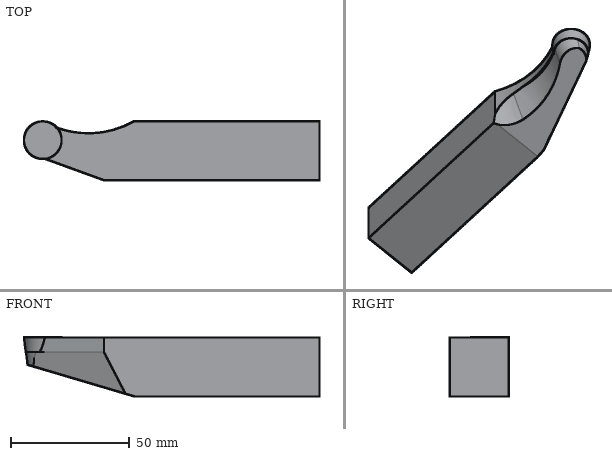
import cadquery as cq
import math

LENGTH = 125.0
WIDTH = 25.0
HEIGHT = 25.0

INSERT_RADIUS = 8.0
INSERT_THICKNESS = 6.4
CLEARANCE_ANGLE = 7.0
SEAT_Z = 18.8
INSERT_X = INSERT_RADIUS
INSERT_Y = WIDTH - INSERT_RADIUS

TIP_RADIUS = 7.1
FRONT_ANGLE = 20.0
FRONT_RELIEF_ANGLE = 10.0
ARC_RADIUS = 39.0
ARC_CENTER_X = 27.2
REAR_RELIEF_ANGLE = 20.0
UNDERCUT_RADIUS = 31.2
UNDERCUT_CENTER_X = 26.2
UNDERCUT_BLEND_X = 38.8
UNDERCUT_END_RADIUS = 15.6
UNDERSIDE_ANGLE = 16.5
UNDERSIDE_END_X = 46.8

TIP_WRAP_ANGLE = 120.0
UNDERCUT_MARGIN = 1.2
TOOL_SIZE = 2 * LENGTH


def hollow_center(radius, center_x):
    """Center of an arc that touches the tip support from outside, on its rear side."""
    reach = radius + TIP_RADIUS
    return center_x, INSERT_Y + math.sqrt(reach**2 - (center_x - INSERT_X) ** 2)


def tip_tangent(radius, center):
    """Point where a hollow touches the tip support."""
    share = TIP_RADIUS / (radius + TIP_RADIUS)
    return (
        INSERT_X + share * (center[0] - INSERT_X),
        INSERT_Y + share * (center[1] - INSERT_Y),
    )


def point_below(center, distance, angle):
    """Point at a distance from the center, swung from the -Y direction towards +X."""
    return center[0] + distance * math.sin(angle), center[1] - distance * math.cos(angle)


front_angle = math.radians(FRONT_ANGLE)
FRONT_TANGENT = (
    INSERT_X - TIP_RADIUS * math.sin(front_angle),
    INSERT_Y - TIP_RADIUS * math.cos(front_angle),
)
FRONT_CORNER_X = FRONT_TANGENT[0] + FRONT_TANGENT[1] / math.tan(front_angle)


def clearance_cone(top_radius, bottom_z, height):
    """Frustum on the insert axis that narrows downwards at the clearance angle."""
    bottom_radius = top_radius - height * math.tan(math.radians(CLEARANCE_ANGLE))
    cone = cq.Solid.makeCone(bottom_radius, top_radius, height, cq.Vector(INSERT_X, INSERT_Y, bottom_z))
    return cq.Workplane(obj=cone)


def shank_and_flanks():
    """Bar with its flat front flank and its hollow rear flank, both vertical."""
    center = hollow_center(ARC_RADIUS, ARC_CENTER_X)
    end_x = center[0] + math.sqrt(ARC_RADIUS**2 - (center[1] - WIDTH) ** 2)
    arc_middle = (center[0], center[1] - ARC_RADIUS)
    return (
        cq.Workplane("XY")
        .moveTo(*FRONT_TANGENT)
        .lineTo(FRONT_CORNER_X, 0)
        .lineTo(LENGTH, 0)
        .lineTo(LENGTH, WIDTH)
        .lineTo(end_x, WIDTH)
        .threePointArc(arc_middle, tip_tangent(ARC_RADIUS, center))
        .close()
        .extrude(HEIGHT)
    )


def front_relief():
    """Half-space tool that leans the front flank inwards below the seat."""
    tool = cq.Workplane("XY").box(TOOL_SIZE, TOOL_SIZE, TOOL_SIZE, centered=(True, False, False))
    tool = tool.translate((0, -TOOL_SIZE, -TOOL_SIZE))
    tool = tool.rotate((0, 0, 0), (1, 0, 0), FRONT_RELIEF_ANGLE)
    tool = tool.rotate((0, 0, 0), (0, 0, 1), -FRONT_ANGLE)
    return tool.translate((FRONT_CORNER_X, 0, SEAT_Z)).intersect(below_seat())


def rear_relief():
    """Leaning prism tool: wraps the rear of the tip support, then hollows the flank."""
    center = hollow_center(UNDERCUT_RADIUS, UNDERCUT_CENTER_X)
    tangent = tip_tangent(UNDERCUT_RADIUS, center)
    lean = SEAT_Z * math.tan(math.radians(REAR_RELIEF_ANGLE))

    blend_angle = math.asin((UNDERCUT_BLEND_X - center[0]) / UNDERCUT_RADIUS)
    blend = point_below(center, UNDERCUT_RADIUS, blend_angle)
    center_shift = UNDERCUT_RADIUS - UNDERCUT_END_RADIUS
    end_center = point_below(center, center_shift, blend_angle)
    end_middle = point_below(end_center, UNDERCUT_END_RADIUS, (blend_angle + math.pi / 2) / 2)
    end = (end_center[0] + UNDERCUT_END_RADIUS, end_center[1])

    tip_left = INSERT_X - TIP_RADIUS
    wrap_angle = math.radians(TIP_WRAP_ANGLE)
    tip_middle = (
        INSERT_X + TIP_RADIUS * math.cos(wrap_angle),
        INSERT_Y + TIP_RADIUS * math.sin(wrap_angle),
    )
    profile = (
        cq.Workplane("XY", origin=(0, 0, SEAT_Z))
        .moveTo(tip_left, INSERT_Y)
        .threePointArc(tip_middle, tangent)
        .threePointArc((center[0], center[1] - UNDERCUT_RADIUS), blend)
        .threePointArc(end_middle, end)
        .lineTo(-UNDERCUT_MARGIN, end[1])
        .lineTo(-UNDERCUT_MARGIN, INSERT_Y)
        .close()
        .val()
    )
    tool = cq.Solid.extrudeLinear(profile, [], cq.Vector(0, -lean, -SEAT_Z))
    return cq.Workplane(obj=tool)


def below_seat():
    """Space under the seat plane."""
    return cq.Workplane("XY").box(TOOL_SIZE, TOOL_SIZE, SEAT_Z, centered=(True, True, False))


def underside():
    """Wedge tool that slopes the underside up towards the tip."""
    rise = UNDERSIDE_END_X * math.tan(math.radians(UNDERSIDE_ANGLE))
    return (
        cq.Workplane("XZ")
        .polyline([(0, 0), (UNDERSIDE_END_X, 0), (0, rise)])
        .close()
        .extrude(-WIDTH)
    )


def make_insert():
    return clearance_cone(INSERT_RADIUS, SEAT_Z, INSERT_THICKNESS)


def make_holder(seated_insert):
    tip_support = clearance_cone(TIP_RADIUS, 0, SEAT_Z)
    holder = shank_and_flanks().union(tip_support)
    for tool in (front_relief(), rear_relief(), underside(), seated_insert):
        holder = holder.cut(tool)
    return holder


insert = make_insert()
holder = make_holder(insert)
result = cq.Compound.makeCompound([holder.val(), insert.val()])